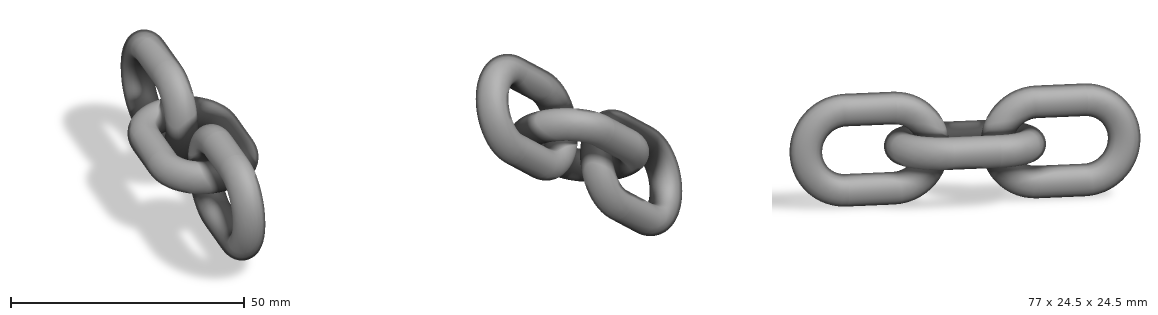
import cadquery as cq

wire_diameter = 7.0
link_width = 24.5
link_length = 35.0
link_count = 3

bend_radius = (link_width - wire_diameter) / 2
straight_length = link_length - link_width
link_pitch = link_length - 2 * wire_diameter
first_link_x = -link_pitch * (link_count - 1) / 2


def make_link():
    """One chain link lying in the XY plane: a round wire swept along a racetrack."""
    half_straight = straight_length / 2
    centreline = (
        cq.Workplane("XY")
        .moveTo(0, -bend_radius)
        .lineTo(half_straight, -bend_radius)
        .threePointArc((half_straight + bend_radius, 0), (half_straight, bend_radius))
        .lineTo(-half_straight, bend_radius)
        .threePointArc((-half_straight - bend_radius, 0), (-half_straight, -bend_radius))
        .close()
    )
    wire_section = cq.Workplane("YZ").center(-bend_radius, 0).circle(wire_diameter / 2)
    return wire_section.sweep(centreline)


links = []
for index in range(link_count):
    link = make_link()
    if index % 2 == 0:
        link = link.rotate((0, 0, 0), (1, 0, 0), 90)
    links.append(link.translate((first_link_x + index * link_pitch, 0, 0)))

result = cq.Compound.makeCompound([link.val() for link in links])